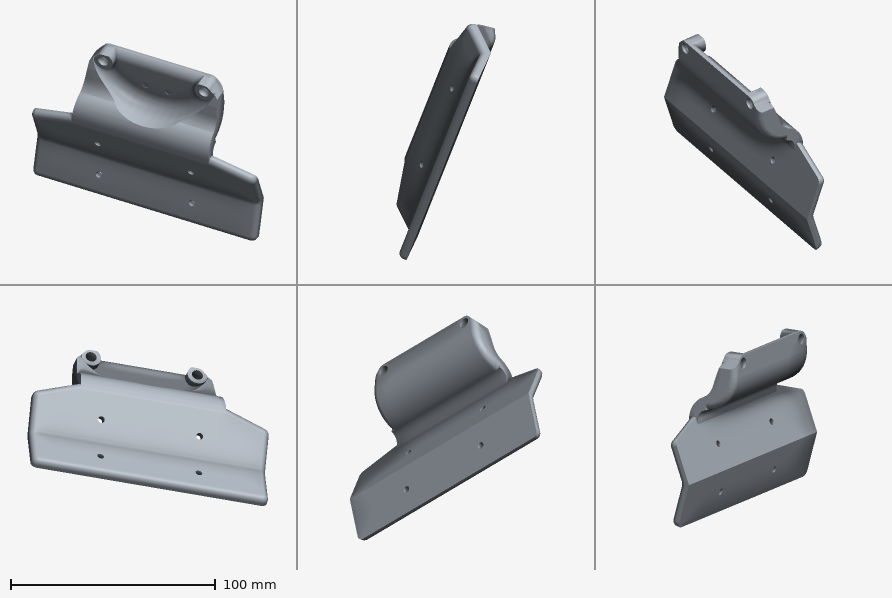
import cadquery as cq
import math

WIDTH = 120.0
HEIGHT = 82.5
DEPTH = 25.0

PLATE_THICKNESS = 4.7
UPPER_TILT = math.radians(20.3)
LOWER_TILT = math.radians(15.5)
FOLD_Y = -10.9
FOLD_Z = 22.8
FOLD_RADIUS = 3.6
EDGE_RADIUS = 2.9
CORNER_RADIUS = 3.0
SHOULDER_OVERLAP = 4.8
WING_TIP_Z = 43.3
PLATE_HOLE_DIAMETER = 3.4
PLATE_HOLE_X = 25.0
UPPER_HOLE_Z = 33.6
LOWER_HOLE_Z = 12.5

NECK_ROOT_Z = 39.6
NECK_BASE_Z = 50.6
NECK_BASE_HALF = 36.8
NECK_TOP_HALF = 34.3
NECK_SHOULDER_Z = 76.5
NECK_BACK_Y = -19.9
NECK_EDGE_RADIUS = 3.0
REAR_RADIUS = 17.4
REAR_ARC_Z = 71.9
REAR_BEND_RADIUS = 4.8
FRONT_LEG_TOP_Z = 46.5
FRONT_BEND_LOW_Z = 47.5
FRONT_BEND_Z = 49.3
FRONT_BEND_MID = (-22.3, 57.2)
FRONT_INFLECTION = (-16.5, 61.3)
FRONT_HOLLOW_MID = (-14.0, 63.6)
FRONT_HOLLOW_TOP = (-12.4, 67.0)
FRONT_SLOPE_BREAK = (-10.8, 72.5)
FRONT_SLOPE_TOP_Z = 77.5

BOSS_X = 27.0
BOSS_Z = 78.5
BOSS_RADIUS = 5.0
BOSS_HOLE_DIAMETER = 5.5
BOSS_FRONT_Y = -9.0
CORNER_ROUND = HEIGHT - BOSS_Z
CORNER_TURN = math.radians(60)

BOWL_AXIS_Z = 93.5
BOWL_RADIUS = 36.5
BOWL_FILLET = 6.4
BOWL_FLOOR_Y = -5.0
SCOOP_START_Z = 77.3
SCOOP_TOP_Y = -1.8
DIMPLE_DIAMETER = 3.5
DIMPLE_DEPTH = 0.2
DIMPLE_X = 6.0
DIMPLE_Z = 67.5


def yz_prism(profile, half_width):
    """Extrude a closed YZ profile symmetrically along X."""
    return profile.close().extrude(half_width, both=True)


def y_cylinder(x, z, radius, front_y, back_y):
    """Cylinder along Y between two Y positions."""
    plane = cq.Plane((x, back_y, z), xDir=(1, 0, 0), normal=(0, -1, 0))
    return cq.Workplane(plane).circle(radius).extrude(back_y - front_y)


def upper_leg(z):
    """Rear and front Y of the upper plate leg at height z."""
    rear_y = FOLD_Y - (z - FOLD_Z) * math.tan(UPPER_TILT)
    return rear_y, rear_y - PLATE_THICKNESS / math.cos(UPPER_TILT)


def folded_plate():
    """Plate bent at the fold line, with sloping shoulders and a rounded front rim."""
    miter = PLATE_THICKNESS / math.cos((UPPER_TILT + LOWER_TILT) / 2)
    bisector = (UPPER_TILT - LOWER_TILT) / 2
    front_fold = (FOLD_Y - miter * math.cos(bisector), FOLD_Z - miter * math.sin(bisector))
    end_back = (FOLD_Y - FOLD_Z * math.tan(LOWER_TILT), 0)
    end_front = (
        end_back[0] - PLATE_THICKNESS * math.cos(LOWER_TILT),
        PLATE_THICKNESS * math.sin(LOWER_TILT),
    )
    shoulder_slope = (NECK_BASE_Z - WING_TIP_Z) / (WIDTH / 2 - NECK_BASE_HALF)
    peak_half = NECK_BASE_HALF - SHOULDER_OVERLAP
    peak_z = NECK_BASE_Z + shoulder_slope * SHOULDER_OVERLAP
    top_back_y, top_front_y = upper_leg(peak_z)
    profile = (
        cq.Workplane("YZ")
        .moveTo(top_back_y, peak_z)
        .lineTo(FOLD_Y, FOLD_Z)
        .lineTo(*end_back)
        .lineTo(*end_front)
        .lineTo(*front_fold)
        .lineTo(top_front_y, peak_z)
    )
    plate = yz_prism(profile, WIDTH / 2)
    fold_edge = cq.selectors.NearestToPointSelector((0, *front_fold))
    plate = plate.edges("|X").edges(fold_edge).fillet(FOLD_RADIUS)

    outline = (
        cq.Workplane("XZ")
        .polyline([
            (-WIDTH / 2, 0),
            (WIDTH / 2, 0),
            (WIDTH / 2, WING_TIP_Z),
            (peak_half, peak_z),
            (-peak_half, peak_z),
            (-WIDTH / 2, WING_TIP_Z),
        ])
        .close()
        .extrude(2 * DEPTH)
    )
    plate = plate.intersect(outline)
    tip_box = cq.selectors.BoxSelector(
        (-WIDTH, -2 * DEPTH, WING_TIP_Z - 0.1), (WIDTH, 0, WING_TIP_Z + 0.1)
    )
    plate = plate.edges(tip_box).edges("|Y").fillet(CORNER_RADIUS)
    end_box = cq.selectors.BoxSelector((-WIDTH, -DEPTH, 0), (WIDTH, 0, 1.2))
    plate = plate.edges(end_box).edges("not |X").fillet(CORNER_RADIUS)

    mid_leg = ((end_front[0] + front_fold[0]) / 2, (end_front[1] + front_fold[1]) / 2)
    side_edge = cq.selectors.NearestToPointSelector((WIDTH / 2, *mid_leg))
    plate = plate.edges(side_edge).fillet(EDGE_RADIUS)

    neck_room = cq.Workplane().box(2 * NECK_BASE_HALF, 4 * DEPTH, HEIGHT)
    return plate.cut(neck_room.translate((0, 0, NECK_ROOT_Z + HEIGHT / 2)))


def neck_profiles():
    """Side profiles of the neck above and below the joint between its two rear arcs."""
    upper_center = (-REAR_RADIUS, REAR_ARC_Z)
    lower_y = NECK_BACK_Y + REAR_BEND_RADIUS
    span = REAR_RADIUS + REAR_BEND_RADIUS
    joint_angle = math.acos((lower_y - upper_center[0]) / span)
    lower_center = (lower_y, REAR_ARC_Z - span * math.sin(joint_angle))

    def on_arc(center, radius, angle):
        return (center[0] + radius * math.cos(angle), center[1] + radius * math.sin(angle))

    joint = on_arc(upper_center, REAR_RADIUS, -joint_angle)
    upper_mid = on_arc(upper_center, REAR_RADIUS, -joint_angle / 2)
    lower_mid = on_arc(lower_center, REAR_BEND_RADIUS, math.pi - joint_angle / 2)

    upper = (
        cq.Workplane("YZ")
        .moveTo(0, HEIGHT)
        .lineTo(0, REAR_ARC_Z)
        .threePointArc(upper_mid, joint)
        .lineTo(*FRONT_INFLECTION)
        .threePointArc(FRONT_HOLLOW_MID, FRONT_HOLLOW_TOP)
        .lineTo(*FRONT_SLOPE_BREAK)
        .lineTo(BOSS_FRONT_Y, FRONT_SLOPE_TOP_Z)
        .lineTo(BOSS_FRONT_Y, HEIGHT)
    )
    rear_bend_z = FOLD_Z + (FOLD_Y - NECK_BACK_Y) / math.tan(UPPER_TILT)
    root_back_y, root_front_y = upper_leg(NECK_ROOT_Z)
    lower = (
        cq.Workplane("YZ")
        .moveTo(*joint)
        .threePointArc(lower_mid, (NECK_BACK_Y, lower_center[1]))
        .lineTo(NECK_BACK_Y, rear_bend_z)
        .lineTo(root_back_y, NECK_ROOT_Z)
        .lineTo(root_front_y, NECK_ROOT_Z)
        .lineTo(upper_leg(FRONT_LEG_TOP_Z)[1], FRONT_LEG_TOP_Z)
        .lineTo(-DEPTH, FRONT_BEND_LOW_Z)
        .lineTo(-DEPTH, FRONT_BEND_Z)
        .threePointArc(FRONT_BEND_MID, FRONT_INFLECTION)
    )
    return upper, lower


def neck():
    """Curved neck with tapering sides, rounded rear edges and cut upper corners."""
    taper = (NECK_BASE_HALF - NECK_TOP_HALF) / (NECK_SHOULDER_Z - NECK_BASE_Z)
    top_half = NECK_TOP_HALF - taper * (HEIGHT - NECK_SHOULDER_Z)
    sides = (
        cq.Workplane("XZ")
        .polyline([
            (-NECK_BASE_HALF, 0),
            (NECK_BASE_HALF, 0),
            (NECK_BASE_HALF, NECK_BASE_Z),
            (top_half, HEIGHT),
            (-top_half, HEIGHT),
            (-NECK_BASE_HALF, NECK_BASE_Z),
        ])
        .close()
        .extrude(2 * DEPTH)
    )
    upper_profile, lower_profile = neck_profiles()
    upper = yz_prism(upper_profile, WIDTH / 2).intersect(sides)
    lower = yz_prism(lower_profile, WIDTH / 2).intersect(sides)
    rear_box = cq.selectors.BoxSelector((-WIDTH, -REAR_RADIUS / 2, 0), (WIDTH, 1.2, HEIGHT - 1.2))
    rear_edges = upper.edges(rear_box).edges("not |X").edges("not |Y")
    upper = rear_edges.edges(">Y").fillet(NECK_EDGE_RADIUS)
    body = upper.union(lower)

    arc_end_x = BOSS_X + CORNER_ROUND * math.sin(CORNER_TURN)
    arc_end_z = BOSS_Z + CORNER_ROUND * math.cos(CORNER_TURN)
    mid_x = BOSS_X + CORNER_ROUND * math.sin(CORNER_TURN / 2)
    mid_z = BOSS_Z + CORNER_ROUND * math.cos(CORNER_TURN / 2)
    corner = (
        cq.Workplane("XZ")
        .moveTo(BOSS_X, HEIGHT)
        .threePointArc((mid_x, mid_z), (arc_end_x, arc_end_z))
        .lineTo(NECK_TOP_HALF, NECK_SHOULDER_Z)
        .lineTo(NECK_TOP_HALF, HEIGHT)
        .close()
        .extrude(2 * DEPTH)
    )
    return body.cut(corner).cut(corner.mirror("YZ"))


def bosses():
    """Round pads at the two upper corners, kept clear of the bowl."""
    pads = y_cylinder(-BOSS_X, BOSS_Z, BOSS_RADIUS, BOSS_FRONT_Y, 0)
    return pads.union(pads.mirror("YZ"))


def bowl():
    """Round pocket with a filleted floor, open at the top and the front."""
    length = 2 * DEPTH + BOWL_FLOOR_Y
    pocket = y_cylinder(0, BOWL_AXIS_Z, BOWL_RADIUS, BOWL_FLOOR_Y - length, BOWL_FLOOR_Y)
    return pocket.faces(">Y").edges().fillet(BOWL_FILLET)


def scoop():
    """Rounded-over relief curving back from the bowl floor to a thin lip at the top."""
    run = SCOOP_TOP_Y - BOWL_FLOOR_Y
    rise = HEIGHT - SCOOP_START_Z
    radius = (run ** 2 + rise ** 2) / (2 * run)
    half_angle = math.atan2(rise, radius - run) / 2
    mid_y = BOWL_FLOOR_Y + radius * (1 - math.cos(half_angle))
    mid_z = SCOOP_START_Z + radius * math.sin(half_angle)
    profile = (
        cq.Workplane("YZ")
        .moveTo(BOWL_FLOOR_Y, SCOOP_START_Z)
        .threePointArc((mid_y, mid_z), (SCOOP_TOP_Y, HEIGHT))
        .lineTo(-DEPTH, HEIGHT)
        .lineTo(-DEPTH, SCOOP_START_Z)
    )
    return yz_prism(profile, BOSS_X)


def plate_holes():
    """Four screw holes, each square to its leg of the plate."""
    holes = cq.Workplane()
    up_normal = (0, -math.cos(UPPER_TILT), -math.sin(UPPER_TILT))
    low_normal = (0, -math.cos(LOWER_TILT), math.sin(LOWER_TILT))
    for z, normal, tilt in (
        (UPPER_HOLE_Z, up_normal, UPPER_TILT),
        (LOWER_HOLE_Z, low_normal, LOWER_TILT),
    ):
        rear_y = FOLD_Y - abs(z - FOLD_Z) * math.tan(tilt)
        front_y = rear_y - PLATE_THICKNESS / math.cos(tilt)
        for x in (-PLATE_HOLE_X, PLATE_HOLE_X):
            plane = cq.Plane((x, front_y, z), xDir=(1, 0, 0), normal=normal)
            circle = cq.Workplane(plane).circle(PLATE_HOLE_DIAMETER / 2)
            hole = circle.extrude(2 * PLATE_THICKNESS, both=True)
            holes = holes.add(hole)
    return holes.combine()


body = neck()
pocket = bowl().union(scoop()).cut(bosses())
result = folded_plate().union(body.cut(pocket))

for sign in (-1, 1):
    boss_hole = y_cylinder(sign * BOSS_X, BOSS_Z, BOSS_HOLE_DIAMETER / 2, -DEPTH, 1.2)
    dimple_back_y = BOWL_FLOOR_Y + DIMPLE_DEPTH
    dimple = y_cylinder(sign * DIMPLE_X, DIMPLE_Z, DIMPLE_DIAMETER / 2, BOWL_FLOOR_Y, dimple_back_y)
    result = result.cut(boss_hole).cut(dimple)

result = result.cut(plate_holes())